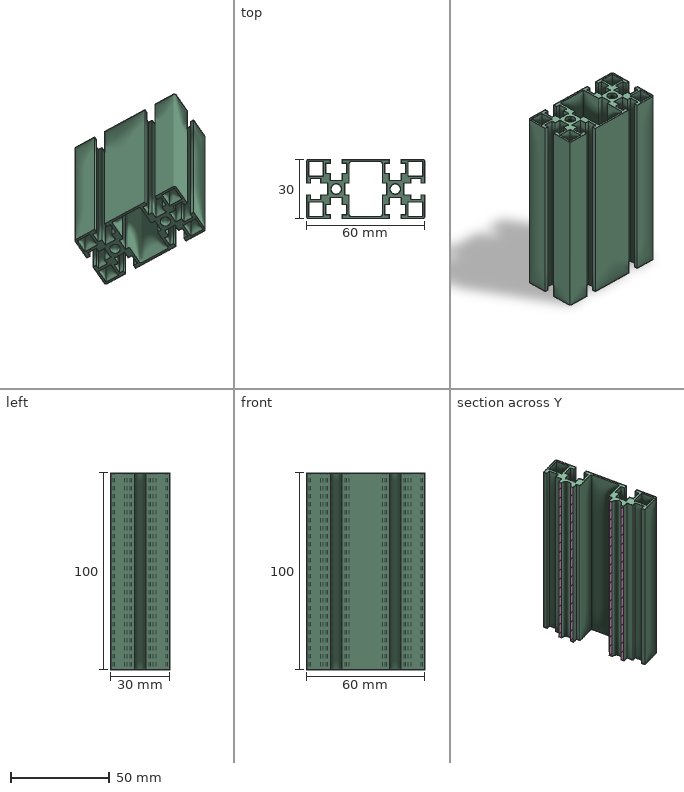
import cadquery as cq

width = 60.0
depth = 30.0
length = 100.0
corner_radius = 1.0

module = depth
core_x = (width - module) / 2
bore_diameter = 5.2

slot_opening = 6.0
slot_inner_width = 10.5
lip_thickness = 2.0
shoulder_depth = 7.1
slot_depth = 10.6

outer_wall = 1.1
corner_chamber_size = 7.3
middle_chamber_width = 16.8
middle_chamber_radius = 1.0
pocket_mouth_radius = 0.6
edge_margin = 0.1
core_half_width = module / 2 - slot_depth


def prism(size_x, size_y, x=0, y=0):
    """Rectangular bar running the full length, centred on (x, y)."""
    return cq.Workplane("XY").center(x, y).rect(size_x, size_y).extrude(length)


def t_slot(x, y, angle):
    """T-slot cutter with its mouth at (x, y), reaching along +Y turned by angle about Z."""
    mouth = prism(slot_opening, slot_depth, 0, slot_depth / 2)
    inner_depth = shoulder_depth - lip_thickness
    inner = prism(slot_inner_width, inner_depth, 0, lip_thickness + inner_depth / 2)
    return mouth.union(inner).rotate((0, 0, 0), (0, 0, 1), angle).translate((x, y, 0))


def middle_chamber():
    """Central chamber with a pocket on each side that reaches the screw cores."""
    chamber = prism(middle_chamber_width, depth - 2 * outer_wall)
    chamber = chamber.edges("|Z").fillet(middle_chamber_radius)
    pockets = prism(2 * (core_x - core_half_width), slot_opening)
    mouth_zone = cq.selectors.BoxSelector(
        (-middle_chamber_width / 2 - edge_margin, -slot_opening / 2 - edge_margin, 0),
        (middle_chamber_width / 2 + edge_margin, slot_opening / 2 + edge_margin, length),
    )
    return chamber.union(pockets).edges("|Z").edges(mouth_zone).fillet(pocket_mouth_radius)


result = prism(width, depth).edges("|Z").fillet(corner_radius)

for x in (-core_x, core_x):
    result = result.cut(t_slot(x, -depth / 2, 0))
    result = result.cut(t_slot(x, depth / 2, 180))
result = result.cut(t_slot(-width / 2, 0, -90))
result = result.cut(t_slot(width / 2, 0, 90))

core_centres = [(-core_x, 0), (core_x, 0)]
bores = cq.Workplane("XY").pushPoints(core_centres).circle(bore_diameter / 2).extrude(length)
result = result.cut(bores)

chamber_x = width / 2 - outer_wall - corner_chamber_size / 2
chamber_y = depth / 2 - outer_wall - corner_chamber_size / 2
for x in (-chamber_x, chamber_x):
    for y in (-chamber_y, chamber_y):
        result = result.cut(prism(corner_chamber_size, corner_chamber_size, x, y))

result = result.cut(middle_chamber())